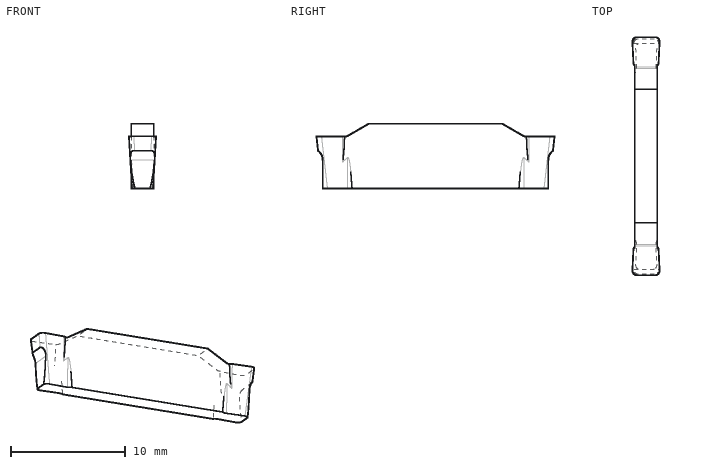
import cadquery as cq
import math

length = 20.8
height = 5.68
body_width = 1.98
head_width = 2.4
head_height = 4.58

corner_radius = 0.42
front_clearance = math.radians(6.5)
flank_clearance = math.radians(3.1)
flank_taper = math.radians(2.7)
head_flank_end = 2.27
head_rear_radius = 0.25

lip_bottom = 3.33
front_face_depth = 0.55
front_face_top = 2.52

neck_overlap_depth = 1.25
relief_start = 2.7
relief_radius = 0.58
ramp_angle = math.radians(30)
ramp_start = 2.66
ramp_blend_radius = 0.31

body_half = body_width / 2
end_y = -length / 2
ramp_end = ramp_start + (height - head_height) / math.tan(ramp_angle)


def front_depth(z):
    """Depth of the sloping front clearance face at height z."""
    return (head_height - z) * math.tan(front_clearance)


def flank_half(depth, z):
    """Half width between the flanks, narrowing inward and downward."""
    taper = (depth - corner_radius) * math.tan(flank_taper)
    return head_width / 2 - taper - (head_height - z) * math.tan(flank_clearance)


def arc_points(center, radius, start, end):
    """Start, middle and end points of an arc given by two angles."""
    angles = (start, (start + end) / 2, end)
    return [(center[0] + radius * math.cos(t), center[1] + radius * math.sin(t)) for t in angles]


def mirror_x(points):
    return [(-x, y) for x, y in reversed(points)]


def head_section(z):
    """Closed wire of the head at height z."""
    corner_depth = front_depth(z) + corner_radius
    corner_x = flank_half(corner_depth, z) - corner_radius / math.cos(flank_taper)
    corner = arc_points((corner_x, end_y + corner_depth), corner_radius, -math.pi / 2, flank_taper)
    rear_center = (
        flank_half(head_flank_end, z) - head_rear_radius * math.cos(flank_taper),
        end_y + head_flank_end - head_rear_radius * math.sin(flank_taper),
    )
    rear = arc_points(rear_center, head_rear_radius, flank_taper, math.pi / 2)
    left_rear = mirror_x(rear)
    left_corner = mirror_x(corner)
    outline = cq.Workplane("XY", origin=(0, 0, z)).moveTo(*corner[0])
    outline = outline.threePointArc(*corner[1:]).lineTo(*rear[0]).threePointArc(*rear[1:])
    outline = outline.lineTo(*left_rear[0]).threePointArc(*left_rear[1:])
    outline = outline.lineTo(*left_corner[0]).threePointArc(*left_corner[1:]).close()
    return outline.val()


def neck_section(z):
    """Closed wire of the relieved neck, flaring outward past the body sides."""
    relief_center = (
        flank_half(relief_start, z) + relief_radius * math.cos(flank_taper),
        end_y + relief_start + relief_radius * math.sin(flank_taper),
    )
    flare = arc_points(relief_center, relief_radius, math.pi + flank_taper, math.pi / 2)
    left_flare = mirror_x(flare)
    start_half = flank_half(neck_overlap_depth, z)
    start_y = end_y + neck_overlap_depth
    outline = cq.Workplane("XY", origin=(0, 0, z)).moveTo(start_half, start_y)
    outline = outline.lineTo(*flare[0]).threePointArc(*flare[1:])
    outline = outline.lineTo(flare[2][0], 0).lineTo(left_flare[0][0], 0)
    outline = outline.lineTo(*left_flare[0]).threePointArc(*left_flare[1:])
    outline = outline.lineTo(-start_half, start_y).close()
    return outline.val()


def loft_between(section, top):
    return cq.Workplane(cq.Solid.makeLoft([section(0), section(top)], True))


def front_relief():
    """Cutter that leaves the lip overhanging a vertical front face, with a concave blend."""
    face_y = end_y + front_face_depth
    lip_y = end_y + front_depth(lip_bottom)
    return (
        cq.Workplane("YZ", origin=(-head_width, 0, 0))
        .moveTo(end_y, 0)
        .lineTo(face_y, 0)
        .lineTo(face_y, front_face_top)
        .tangentArcPoint((lip_y, lip_bottom), relative=False)
        .lineTo(end_y, lip_bottom)
        .close()
        .extrude(2 * head_width)
    )


def half_body():
    """Half of the plain body, with its end ramp and the side relief at the neck."""
    start_y = end_y + neck_overlap_depth
    foot_y = end_y + ramp_start
    body = (
        cq.Workplane("YZ", origin=(-body_half, 0, 0))
        .polyline([
            (start_y, 0),
            (0, 0),
            (0, height),
            (end_y + ramp_end, height),
            (foot_y, head_height),
            (start_y, head_height),
        ])
        .close()
        .extrude(body_width)
    )
    ramp_foot = cq.selectors.NearestToPointSelector((0, foot_y, head_height))
    body = body.edges(ramp_foot).fillet(ramp_blend_radius)
    return body.intersect(loft_between(neck_section, height))


head = loft_between(head_section, head_height).cut(front_relief())
half_insert = half_body().union(head)
result = half_insert.union(half_insert.mirror("XZ")).clean()